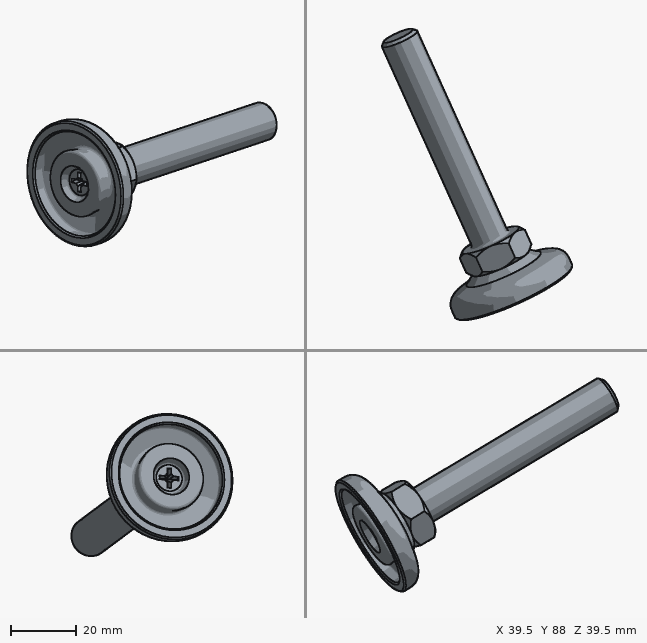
import cadquery as cq
import math


total_length = 88.0
foot_height = 10.2
hex_height = 7.8
hex_top = foot_height + hex_height

foot_radius = 39.5 / 2
rim_chamfer = 0.5
rim_band_top = 2.9
shoulder_radius = 17.0
shoulder_height = 6.8
shoulder_width = foot_radius - shoulder_radius
shoulder_rise = shoulder_height - rim_band_top
shoulder_arc_radius = (shoulder_width**2 + shoulder_rise**2) / (2 * shoulder_width)
neck_radius = 12.5
neck_height = 8.0
foot_top_radius = 9.5

hollow_radius = 16.5
hollow_wall_top = 3.8
hollow_cone_angle = 22.0
hollow_corner_fillet = 0.9
boss_face_radius = 10.65
boss_face_height = 0.2
boss_undercut_angle = 8.0
boss_edge_fillet = 1.1
boss_root_fillet = 1.1

cone_slope = math.tan(math.radians(hollow_cone_angle))
undercut_slope = math.tan(math.radians(boss_undercut_angle))
cone_height_over_face = hollow_wall_top + (hollow_radius - boss_face_radius) * cone_slope - boss_face_height
boss_wall_height = cone_height_over_face / (1 - undercut_slope * cone_slope)
boss_root_height = boss_face_height + boss_wall_height
boss_root_radius = boss_face_radius - boss_wall_height * undercut_slope

cup_mouth_radius = 5.7
cup_wall_radius = 4.9
cup_wall_depth = 1.8
cup_depth = 2.3
cup_floor_height = boss_face_height + cup_depth
screw_radius = 4.1

recess_span = 6.2
wing_width = 1.2
wing_depth = 1.8
core_width = 2.8
core_depth = 2.0
core_taper = 30.0

stud_radius = 6.0
stud_tip_chamfer = 1.1
stud_root_fillet = 0.9
hex_across_flats = 19.0
hex_corner_radius = hex_across_flats / math.sqrt(3)
hex_chamfer = hex_corner_radius - hex_across_flats / 2


def cylinder(radius, start, end):
    """Solid cylinder on the Y axis between two heights."""
    return cq.Workplane("XZ", origin=(0, start, 0)).circle(radius).extrude(start - end)


def edges_at(radius, height):
    """Selector for the circular edge around the Y axis that has this radius and height."""
    margin = 0.04
    reach = radius + margin
    near = cq.selectors.BoxSelector((-reach, height - margin, -reach), (reach, height + margin, reach), True)
    inner = radius - margin
    inside = cq.selectors.BoxSelector((-inner, height - margin, -inner), (inner, height + margin, inner), True)
    return near - inside


def make_foot():
    """Bell-shaped plate with a hollow underside, a central boss and a through bore for the screw."""
    profile = (
        cq.Workplane("XY")
        .moveTo(screw_radius, foot_height)
        .lineTo(foot_top_radius, foot_height)
        .lineTo(neck_radius, neck_height)
        .lineTo(shoulder_radius, shoulder_height)
        .radiusArc((foot_radius, rim_band_top), shoulder_arc_radius)
        .lineTo(foot_radius, rim_chamfer)
        .lineTo(foot_radius - rim_chamfer, 0)
        .lineTo(hollow_radius + rim_chamfer, 0)
        .lineTo(hollow_radius, rim_chamfer)
        .lineTo(hollow_radius, hollow_wall_top)
        .lineTo(boss_root_radius, boss_root_height)
        .lineTo(boss_face_radius, boss_face_height)
        .lineTo(cup_mouth_radius, boss_face_height)
        .lineTo(cup_wall_radius, boss_face_height + cup_wall_depth)
        .tangentArcPoint((screw_radius, cup_floor_height), relative=False)
        .close()
    )
    foot = profile.revolve(360, (0, 0, 0), (0, 1, 0))
    foot = foot.edges(edges_at(hollow_radius, hollow_wall_top)).fillet(hollow_corner_fillet)
    foot = foot.edges(edges_at(boss_root_radius, boss_root_height)).fillet(boss_root_fillet)
    return foot.edges(edges_at(boss_face_radius, boss_face_height)).fillet(boss_edge_fillet)


def make_hex():
    """Hexagon with corners on the X axis and 45 degree chamfers turned on both ends."""
    prism = (
        cq.Workplane("XZ", origin=(0, foot_height, 0))
        .polygon(6, 2 * hex_corner_radius)
        .extrude(-hex_height)
    )
    turned_blank = cylinder(hex_corner_radius, foot_height, hex_top).edges().chamfer(hex_chamfer)
    return prism.intersect(turned_blank)


def make_stud():
    """Plain rod with a chamfered tip, blended into its hexagon."""
    root_radius = stud_radius + stud_root_fillet
    root_end = hex_top + stud_root_fillet
    rod = (
        cq.Workplane("XY")
        .moveTo(0, hex_top)
        .lineTo(root_radius, hex_top)
        .radiusArc((stud_radius, root_end), stud_root_fillet)
        .lineTo(stud_radius, total_length - stud_tip_chamfer)
        .lineTo(stud_radius - stud_tip_chamfer, total_length)
        .lineTo(0, total_length)
        .close()
        .revolve(360, (0, 0, 0), (0, 1, 0))
    )
    return make_hex().union(rod)


def make_screw():
    """Screw filling the bore of the foot, with a cross recess in its lower face."""
    screw = cylinder(screw_radius, cup_floor_height, foot_height)
    wing = (
        cq.Workplane("XY")
        .moveTo(-wing_width / 2, cup_floor_height)
        .lineTo(wing_width / 2, cup_floor_height)
        .lineTo(0, cup_floor_height + wing_depth)
        .close()
        .extrude(recess_span / 2, both=True)
    )
    for angle in (0, 90):
        screw = screw.cut(wing.rotate((0, 0, 0), (0, 1, 0), angle))
    core = (
        cq.Workplane("XZ", origin=(0, cup_floor_height, 0))
        .transformed(rotate=(0, 0, 45))
        .rect(core_width, core_width)
        .extrude(-core_depth, taper=core_taper)
    )
    return screw.cut(core)


foot = make_foot()
stud = make_stud()
screw = make_screw()

result = cq.Compound.makeCompound([foot.val(), stud.val(), screw.val()])